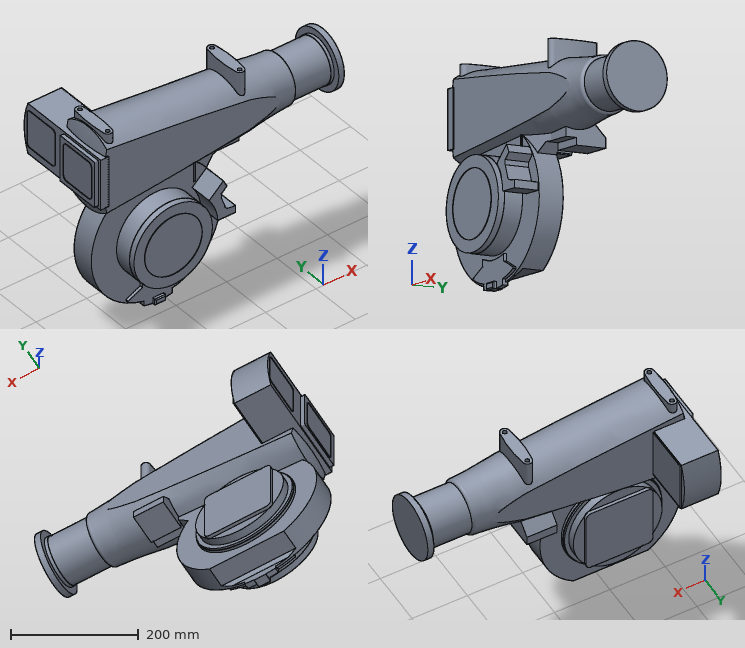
import cadquery as cq
import math

LENGTH = 486.5
TOP_Z = 85.0

REAR_X = 21.0
REAR_RADIUS = 80.0
DOME_HEIGHT = 10.5
SHOULDER_X = 306.0
SHOULDER_RADIUS = 57.5
TAPER_X = 360.5
TAPER_RADIUS = 50.0
NOSE_X = 391.5
NOSE_RADIUS = 47.5
NOSE_ROUND = 8.0
PIPE_RADIUS = 86.0 / 2
COLLAR_X = 469.5
COLLAR_RADIUS = 88.0 / 2
FLANGE_X = 475.5
FLANGE_RADIUS = 112.0 / 2
FLAT_HALF_WIDTH = 49.5

HOUSING_X = 7.5
HOUSING_HALF_HEIGHT = 49.0
PLATE_THICKNESS = 16.0
PLATE_SIDE_Y = -51.5
BOX_DEPTH = 66.5
BOX_SIDE_Y = 135.2
BOX_BULGE_Y = 145.0
BOX_BACK_THICKNESS = 2.0
PAD_CENTER_Y = -1.0
PAD_SIZE = 89.5
PAD_CORNER = 2.0
WINDOW_SIZE = 72.0
WINDOW_CORNER = 7.5
WINDOW_DEPTH = 1.0
SIDE_WINDOW_Y = 101.5

LUG_HOLE_OFFSET = 35.5
LUG_END_RADIUS = 8.5
LUG_HOLE_DIAMETER = 7.5
LUG_HOLE_DEPTH = 14.5
REAR_LUG_X = 33.5
REAR_LUG_WIDTH = 21.5
FRONT_LUG_X = 295.0
FRONT_LUG_WIDTH = 23.0

BLOWER_RADIUS = 128.0
BLOWER_X = BLOWER_RADIUS
BLOWER_Z = -155.5
BLOWER_FRONT_Y = -37.0
BLOWER_BACK_Y = 7.5
FRONT_DISCS = [
    (156.0 / 2, -70.0, BLOWER_FRONT_Y),
    (155.0 / 2, -81.2, -70.0),
    (114.0 / 2, -82.0, -81.2),
]
BACK_DISCS = [
    (89.5, BLOWER_BACK_Y, 11.5),
    (88.0, 11.5, 15.0),
    (160.5 / 2, 15.0, 29.0),
]
BACK_CAP_Y = 29.0
BACK_CAP_SIZE = 120.5
BACK_CAP_THICKNESS = 6.0
BACK_CAP_CORNER = 9.2

RIM_CUT_DROP = 108.5
RIM_BEVEL_DROP = 117.2
RIM_BACK_Y = -29.0
RIM_EDGE_Y = -33.0

CATCH_FRONT_Y = -43.0
CATCH_TOP_RADIUS = 86.0
CATCH_RIM_RADIUS = 123.5
CATCH_TAIL_RADIUS = 133.0
CATCH_TAIL_TOP_DROP = 119.0
CATCH_NECK_HALF_WIDTH = 31.0
CATCH_NECK_DROP = 92.0
CATCH_HALF_WIDTH = 59.5
CATCH_WING_DROP = 106.0
CATCH_TAIL_HALF_WIDTH = 28.0
KEY_BOTTOM_DROP = 133.5
KEY_WIDTH = 21.5
KEY_HEIGHT = 11.5
KEY_FRONT_Y = -49.5
KEY_BEVEL = 2.0

HOOK_FRONT_Y = -80.5
HOOK_RADIUS = 89.5
HOOK_START_ANGLE = 36.7
HOOK_END_ANGLE = 4.0
HOOK_END_X = 252.5
HOOK_TIP = (228.0, -76.5)
HOOK_LIP = (235.5, -89.5)
HOOK_THROAT_X = 224.5
HOOK_THROAT_TOP_Z = -100.0
HOOK_THROAT_BOTTOM_Z = -108.5
HOOK_BEND_START = (231.5, -128.5)
HOOK_BEND_MIDDLE = (233.5, -132.5)
HOOK_BEND_END = (237.5, -134.5)
HOOK_MOUTH_Z = -136.0

FOOT_FRONT_Y = 0.0
BLOCK_FRONT_Y = -19.0
BRACKET_BACK_Y = 54.5
BRACKET_START_X = 252.0
BRACKET_END_X = 306.5
FOOT_TOP_Z = -70.0
FOOT_BOTTOM_Z = -82.0
BLOCK_SHOULDER_Z = -65.5
BLOCK_BEVEL = 24.5
WEB_START_X = 204.5
WEB_END_X = 262.0
WEB_LOW_X = 233.5
WEB_LOW_Z = -87.5

RIB_X = 202.0
RIB_WIDTH = 3.5
RIB_BOTTOM_Z = -91.5
RIB_HEIGHT = 1.0


def box(x_range, y_range, z_range):
    """Block between the given limits."""
    size = [limits[1] - limits[0] for limits in (x_range, y_range, z_range)]
    return cq.Workplane("XY").box(*size, centered=False).translate((x_range[0], y_range[0], z_range[0]))


def prism(outline, front_y, back_y):
    """Extrude a closed XZ outline from front_y to back_y."""
    return outline.close().extrude(-(back_y - front_y)).translate((0, front_y, 0))


def xz_plane():
    return cq.Workplane("XZ")


def disc(radius, front_y, back_y):
    """Disc around the blower axis."""
    outline = xz_plane().center(BLOWER_X, BLOWER_Z).circle(radius)
    return outline.extrude(-(back_y - front_y)).translate((0, front_y, 0))


def blower_point(radius, side):
    """Point below the blower axis at a radius and a sideways distance."""
    return (BLOWER_X + side, BLOWER_Z - math.sqrt(radius**2 - side**2))


def make_barrel():
    round_middle = NOSE_ROUND * math.sqrt(0.5)
    nose_drop = NOSE_RADIUS - PIPE_RADIUS
    half_profile = (
        cq.Workplane("XY")
        .moveTo(REAR_X - DOME_HEIGHT, 0)
        .threePointArc((REAR_X - 0.75 * DOME_HEIGHT, REAR_RADIUS / 2), (REAR_X, REAR_RADIUS))
        .lineTo(SHOULDER_X, SHOULDER_RADIUS)
        .lineTo(TAPER_X, TAPER_RADIUS)
        .lineTo(NOSE_X, NOSE_RADIUS)
        .threePointArc(
            (NOSE_X + round_middle, PIPE_RADIUS + nose_drop * math.sqrt(0.5)),
            (NOSE_X + NOSE_ROUND, PIPE_RADIUS),
        )
        .lineTo(COLLAR_X, PIPE_RADIUS)
        .lineTo(COLLAR_X, COLLAR_RADIUS)
        .lineTo(FLANGE_X, COLLAR_RADIUS)
        .lineTo(FLANGE_X, FLANGE_RADIUS)
        .lineTo(LENGTH, FLANGE_RADIUS)
        .lineTo(LENGTH, 0)
        .close()
    )
    barrel = half_profile.revolve(360, (0, 0, 0), (1, 0, 0))
    for side in (-1, 1):
        inner = side * FLAT_HALF_WIDTH
        outer = side * REAR_RADIUS
        y_range = (min(inner, outer), max(inner, outer))
        barrel = barrel.cut(box((0, NOSE_X), y_range, (-REAR_RADIUS, REAR_RADIUS)))
    return barrel


def rounded_pad(center_y, size, corner, start_x, thickness):
    """Square pad with rounded corners on a plane facing along X."""
    pad = cq.Workplane("YZ").center(center_y, 0).rect(size, size).extrude(thickness)
    return pad.edges("|X").fillet(corner).translate((start_x, 0, 0))


def make_housing():
    z_range = (-HOUSING_HALF_HEIGHT, HOUSING_HALF_HEIGHT)
    plate = box((HOUSING_X, HOUSING_X + PLATE_THICKNESS), (PLATE_SIDE_Y, FLAT_HALF_WIDTH), z_range)
    side_box = (
        cq.Workplane("YZ")
        .moveTo(0, -HOUSING_HALF_HEIGHT)
        .lineTo(BOX_SIDE_Y, -HOUSING_HALF_HEIGHT)
        .threePointArc((BOX_BULGE_Y, 0), (BOX_SIDE_Y, HOUSING_HALF_HEIGHT))
        .lineTo(0, HOUSING_HALF_HEIGHT)
        .close()
        .extrude(BOX_DEPTH)
        .translate((HOUSING_X, 0, 0))
    )
    back_x = HOUSING_X + BOX_DEPTH
    inset = BOX_BACK_THICKNESS
    back_z = (z_range[0] + inset, z_range[1] - inset)
    back = box((back_x, back_x + BOX_BACK_THICKNESS), (0, BOX_SIDE_Y), back_z)
    pad = rounded_pad(PAD_CENTER_Y, PAD_SIZE, PAD_CORNER, 0, HOUSING_X)
    housing = plate.union(side_box).union(back).union(pad)
    for center_y, face_x in ((PAD_CENTER_Y, 0), (SIDE_WINDOW_Y, HOUSING_X)):
        housing = housing.cut(rounded_pad(center_y, WINDOW_SIZE, WINDOW_CORNER, face_x, WINDOW_DEPTH))
    return housing


def lug_outline(center_x, width):
    """Long outline with round ends and bulging sides."""
    half = width / 2
    end_y = LUG_HOLE_OFFSET
    tip_y = LUG_HOLE_OFFSET + LUG_END_RADIUS
    return (
        cq.Workplane("XY")
        .center(center_x, 0)
        .moveTo(LUG_END_RADIUS, -end_y)
        .threePointArc((half, 0), (LUG_END_RADIUS, end_y))
        .threePointArc((0, tip_y), (-LUG_END_RADIUS, end_y))
        .threePointArc((-half, 0), (-LUG_END_RADIUS, -end_y))
        .threePointArc((0, -tip_y), (LUG_END_RADIUS, -end_y))
        .close()
    )


def make_lug(center_x, width, bottom_z):
    lug = lug_outline(center_x, width).extrude(TOP_Z - bottom_z).translate((0, 0, bottom_z))
    holes = (
        cq.Workplane("XY", origin=(center_x, 0, TOP_Z))
        .pushPoints([(0, LUG_HOLE_OFFSET), (0, -LUG_HOLE_OFFSET)])
        .circle(LUG_HOLE_DIAMETER / 2)
        .extrude(-LUG_HOLE_DEPTH)
    )
    return lug.cut(holes)


def make_blower():
    body = disc(BLOWER_RADIUS, BLOWER_FRONT_Y, BLOWER_BACK_Y)
    cut_top = BLOWER_Z - RIM_CUT_DROP
    bevel_z = BLOWER_Z - RIM_BEVEL_DROP
    bottom = BLOWER_Z - BLOWER_RADIUS
    cut_away = (
        cq.Workplane("YZ")
        .moveTo(BLOWER_BACK_Y, cut_top)
        .lineTo(RIM_BACK_Y, cut_top)
        .lineTo(RIM_EDGE_Y, bevel_z)
        .lineTo(RIM_EDGE_Y, bottom)
        .lineTo(BLOWER_BACK_Y, bottom)
        .close()
        .extrude(2 * BLOWER_RADIUS)
    )
    body = body.cut(cut_away)
    for radius, front_y, back_y in FRONT_DISCS + BACK_DISCS:
        body = body.union(disc(radius, front_y, back_y))
    cap = (
        cq.Workplane("XZ", origin=(BLOWER_X, BACK_CAP_Y, BLOWER_Z))
        .rect(BACK_CAP_SIZE, BACK_CAP_SIZE)
        .extrude(-BACK_CAP_THICKNESS)
        .edges("|Y")
        .fillet(BACK_CAP_CORNER)
    )
    return body.union(cap)


def make_catch():
    neck_z = BLOWER_Z - CATCH_NECK_DROP
    wing_z = BLOWER_Z - CATCH_WING_DROP
    neck = CATCH_NECK_HALF_WIDTH
    tail = CATCH_TAIL_HALF_WIDTH
    outline = (
        xz_plane()
        .moveTo(*blower_point(CATCH_TOP_RADIUS, -neck))
        .threePointArc(blower_point(CATCH_TOP_RADIUS, 0), blower_point(CATCH_TOP_RADIUS, neck))
        .lineTo(BLOWER_X + neck, neck_z)
        .lineTo(BLOWER_X + CATCH_HALF_WIDTH, wing_z)
        .lineTo(*blower_point(CATCH_RIM_RADIUS, CATCH_HALF_WIDTH))
        .threePointArc(
            blower_point(CATCH_RIM_RADIUS, 0),
            blower_point(CATCH_RIM_RADIUS, -CATCH_HALF_WIDTH),
        )
        .lineTo(BLOWER_X - CATCH_HALF_WIDTH, wing_z)
        .lineTo(BLOWER_X - neck, neck_z)
    )
    plate = prism(outline, CATCH_FRONT_Y, BLOWER_FRONT_Y)
    tail_top = BLOWER_Z - CATCH_TAIL_TOP_DROP
    tail_outline = (
        xz_plane()
        .moveTo(BLOWER_X - tail, tail_top)
        .lineTo(*blower_point(CATCH_TAIL_RADIUS, -tail))
        .threePointArc(blower_point(CATCH_TAIL_RADIUS, 0), blower_point(CATCH_TAIL_RADIUS, tail))
        .lineTo(BLOWER_X + tail, tail_top)
    )
    tail_block = prism(tail_outline, CATCH_FRONT_Y, RIM_EDGE_Y)
    key_bottom = BLOWER_Z - KEY_BOTTOM_DROP
    key = box(
        (BLOWER_X - KEY_WIDTH / 2, BLOWER_X + KEY_WIDTH / 2),
        (KEY_FRONT_Y, RIM_EDGE_Y),
        (key_bottom, key_bottom + KEY_HEIGHT),
    )
    key = key.faces("<Y").chamfer(KEY_BEVEL)
    return plate.union(tail_block).union(key)


def make_hook():
    def arc_point(angle):
        turn = math.radians(angle)
        return (BLOWER_X + HOOK_RADIUS * math.cos(turn), BLOWER_Z + HOOK_RADIUS * math.sin(turn))

    lower = arc_point(HOOK_END_ANGLE)
    outline = (
        xz_plane()
        .moveTo(*HOOK_TIP)
        .lineTo(*arc_point(HOOK_START_ANGLE))
        .threePointArc(arc_point((HOOK_START_ANGLE + HOOK_END_ANGLE) / 2), lower)
        .lineTo(HOOK_END_X, lower[1])
        .lineTo(HOOK_END_X, HOOK_MOUTH_Z)
        .lineTo(*HOOK_BEND_END)
        .threePointArc(HOOK_BEND_MIDDLE, HOOK_BEND_START)
        .lineTo(HOOK_THROAT_X, HOOK_THROAT_BOTTOM_Z)
        .lineTo(HOOK_THROAT_X, HOOK_THROAT_TOP_Z)
        .lineTo(*HOOK_LIP)
    )
    return prism(outline, HOOK_FRONT_Y, BLOWER_FRONT_Y)


def make_bracket():
    return (
        cq.Workplane("YZ")
        .moveTo(FOOT_FRONT_Y, FOOT_BOTTOM_Z)
        .lineTo(BRACKET_BACK_Y, FOOT_BOTTOM_Z)
        .lineTo(BRACKET_BACK_Y, BLOCK_SHOULDER_Z)
        .lineTo(BRACKET_BACK_Y - BLOCK_BEVEL, BLOCK_SHOULDER_Z + BLOCK_BEVEL)
        .lineTo(BLOCK_FRONT_Y, 0)
        .lineTo(BLOCK_FRONT_Y, FOOT_TOP_Z)
        .lineTo(FOOT_FRONT_Y, FOOT_TOP_Z)
        .close()
        .extrude(BRACKET_END_X - BRACKET_START_X)
        .translate((BRACKET_START_X, 0, 0))
    )


def make_web():
    """Web whose front face slants from the blower front back to the bracket."""
    side_outline = (
        xz_plane()
        .moveTo(BLOWER_X, 0)
        .lineTo(WEB_END_X, 0)
        .lineTo(WEB_END_X, FOOT_TOP_Z)
        .lineTo(BRACKET_START_X, FOOT_TOP_Z)
        .lineTo(WEB_LOW_X, WEB_LOW_Z)
        .lineTo(BLOWER_X, WEB_LOW_Z)
    )
    slab = prism(side_outline, BLOWER_FRONT_Y, BLOWER_BACK_Y)
    slanted_block = (
        cq.Workplane("XY", origin=(0, 0, WEB_LOW_Z))
        .moveTo(BLOWER_X, BLOWER_FRONT_Y)
        .lineTo(WEB_START_X, BLOWER_FRONT_Y)
        .lineTo(WEB_END_X, BLOCK_FRONT_Y)
        .lineTo(WEB_END_X, BLOWER_BACK_Y)
        .lineTo(BLOWER_X, BLOWER_BACK_Y)
        .close()
        .extrude(-WEB_LOW_Z)
    )
    return slab.intersect(slanted_block)


def make_rib():
    return box(
        (RIB_X, RIB_X + RIB_WIDTH),
        (BLOWER_FRONT_Y - RIB_HEIGHT, BLOWER_FRONT_Y),
        (RIB_BOTTOM_Z, 0),
    )


result = (
    make_barrel()
    .union(make_housing())
    .union(make_lug(REAR_LUG_X, REAR_LUG_WIDTH, 0))
    .union(make_lug(FRONT_LUG_X, FRONT_LUG_WIDTH, 0))
    .union(make_blower())
    .union(make_catch())
    .union(make_hook())
    .union(make_bracket())
    .union(make_web())
    .union(make_rib())
)